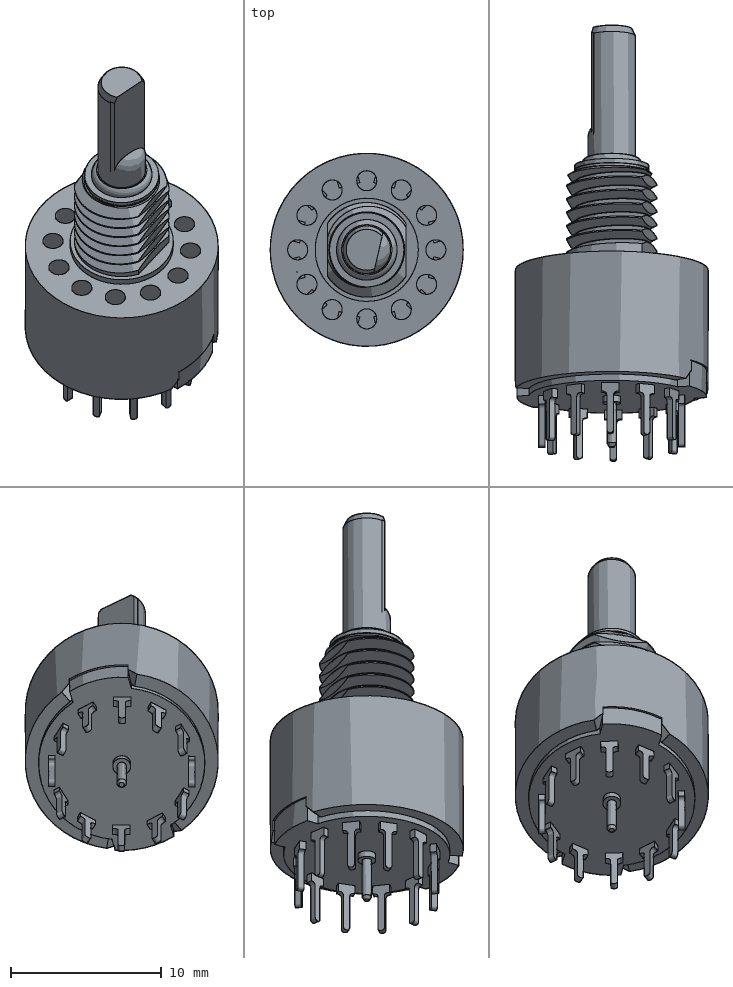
import cadquery as cq
import math

SHOULDER_Z = 2.8
BASE_Z = 3.4
BODY_Z = 3.82
TAB_TOP_Z = 5.15
FLANGE_Z = 11.97
BUSHING_Z = 12.42
BUSHING_TOP_Z = 18.56
CLIP_Z = 18.75
CLIP_TOP_Z = 19.05
COLLAR_TOP_Z = 19.55
FLAT_Z = 20.95
TOTAL_HEIGHT = 28.3

BODY_DIA = 12.82
BASE_DIA = 11.05
FLANGE_DIA = 6.85
TAB_DIA = 12.6
TAB_WIDTH = 4.02
TAB_RELIEF_WIDTH = 0.57
TAB_RELIEF_HEIGHT = 0.6

POSITIONS = 12
ANGLE_STEP = 360 / POSITIONS
HOLE_DIA = 1.33
HOLE_CIRCLE_RADIUS = 4.58

THREAD_DIA = 6.28
ROOT_DIA = 4.92
PITCH = 0.9
CREST_WIDTH = 0.08
THREAD_HALF_ANGLE = 30
GROOVE_START_Z = 12.88
GROOVE_OVERCUT = 0.05
THREAD_CHAMFER_WIDTH = 0.62
THREAD_CHAMFER_HEIGHT = 0.37
ACROSS_FLATS = 5.2
NECK_DIA = 4.75
CLIP_DIA = 4.92
COLLAR_DIA = 4.02
COLLAR_TOP_DIA = 3.35
COLLAR_ROUND_RADIUS = 0.48

SHAFT_DIA = 3.17
SHAFT_CHAMFER_WIDTH = 0.23
SHAFT_CHAMFER_HEIGHT = 0.48
FLAT_OFFSET = 0.8
FLAT_TURN = -13
RELIEF_OFFSET = 0.55
RELIEVED_DIA = 3.1
RUNOUT_RADIUS = 1.0

PIN_CIRCLE_RADIUS = 4.65
PIN_WIDTH = 0.45
PIN_THICKNESS = 0.42
PIN_TIP_FILLET = 0.2
SHOULDER_WIDTH = 1.15
SHOULDER_FILLET = 0.25
HEAD_WIDTH = 1.42
HEAD_TOP_Z = 4.1

MIDDLE_PIN_DIA = 0.62
MIDDLE_PIN_CHAMFER_WIDTH = 0.15
MIDDLE_PIN_CHAMFER_HEIGHT = 0.25
MIDDLE_COLLAR_DIA = 1.2
MIDDLE_COLLAR_Z = 2.97


def disc(diameter, bottom, top):
    return cq.Workplane("XY").workplane(offset=bottom).circle(diameter / 2).extrude(top - bottom)


def block(length, width, bottom, top):
    """Upright block centred on the Z axis."""
    return cq.Workplane("XY").workplane(offset=bottom).rect(length, width).extrude(top - bottom)


def tab_relief():
    """Sloped cut in the housing rim beside the +Y edge of the +X tab, running along a radius."""
    half_width = TAB_WIDTH / 2
    outer_y = half_width + TAB_RELIEF_WIDTH
    turn = math.degrees(math.asin(outer_y / (BODY_DIA / 2)))
    wedge = (
        cq.Workplane("YZ")
        .polyline([(-outer_y, 0), (0, 0), (-outer_y, outer_y * TAB_RELIEF_HEIGHT / TAB_RELIEF_WIDTH)])
        .close()
        .extrude(BODY_DIA)
        .rotate((0, 0, 0), (0, 0, 1), turn)
        .translate((0, 0, BODY_Z))
    )
    beside_tab = cq.Workplane("XY").box(BODY_DIA, outer_y, TAB_RELIEF_HEIGHT, centered=False)
    beside_tab = beside_tab.translate((0, half_width, BODY_Z))
    return wedge.intersect(beside_tab).cut(disc(BASE_DIA, BASE_Z, TAB_TOP_Z))


def housing():
    """Round body on a base disc, whose two tabs reach up into the body rim."""
    part = disc(BODY_DIA, BODY_Z, FLANGE_Z)
    relief = tab_relief()
    part = part.cut(relief).cut(relief.mirror("XZ"))
    part = part.cut(relief.mirror("YZ")).cut(relief.mirror("YZ").mirror("XZ"))
    tab_space = block(2 * BODY_DIA, TAB_WIDTH, BASE_Z, TAB_TOP_Z)
    tabs = tab_space.intersect(disc(TAB_DIA, BASE_Z, TAB_TOP_Z))
    part = part.cut(tab_space.cut(tabs))
    part = part.union(disc(BASE_DIA, BASE_Z, BODY_Z)).union(tabs)
    holes = (
        cq.Workplane("XY")
        .workplane(offset=BODY_Z)
        .polarArray(HOLE_CIRCLE_RADIUS, 0, 360, POSITIONS)
        .circle(HOLE_DIA / 2)
        .extrude(FLANGE_Z - BODY_Z)
    )
    return part.cut(holes).union(disc(FLANGE_DIA, FLANGE_Z, BUSHING_Z))


def groove_turn():
    """One right-handed turn of the V groove, starting in the middle of the -X flat."""
    root_radius = ROOT_DIA / 2
    outer_radius = THREAD_DIA / 2 + GROOVE_OVERCUT
    slope = math.tan(math.radians(THREAD_HALF_ANGLE))
    outer_half = (PITCH - CREST_WIDTH) / 2 + GROOVE_OVERCUT * slope
    root_half = outer_half - (outer_radius - root_radius) * slope
    path = cq.Wire.makeHelix(PITCH, PITCH, root_radius)
    groove = (
        cq.Workplane("XZ")
        .polyline([
            (root_radius, -root_half),
            (outer_radius, -outer_half),
            (outer_radius, outer_half),
            (root_radius, root_half),
        ])
        .close()
        .sweep(cq.Workplane(path), isFrenet=True)
    )
    return groove.rotate((0, 0, 0), (0, 0, 1), 180).translate((0, 0, GROOVE_START_Z))


def bushing():
    """Threaded bushing with two flats, topped by a neck, a retaining clip and a rounded collar."""
    part = disc(THREAD_DIA, BUSHING_Z, BUSHING_TOP_Z).faces(">Z").edges()
    part = part.chamfer(THREAD_CHAMFER_HEIGHT, THREAD_CHAMFER_WIDTH)
    part = part.intersect(block(ACROSS_FLATS, THREAD_DIA, BUSHING_Z, BUSHING_TOP_Z))
    turn = groove_turn()
    turn_count = math.ceil((BUSHING_TOP_Z - GROOVE_START_Z) / PITCH)
    for index in range(turn_count):
        part = part.cut(turn.translate((0, 0, index * PITCH)))
    neck = disc(NECK_DIA, BUSHING_Z, CLIP_Z)
    clip = disc(CLIP_DIA, CLIP_Z, CLIP_TOP_Z)
    collar = (
        cq.Workplane("XZ")
        .moveTo(0, CLIP_TOP_Z)
        .lineTo(COLLAR_DIA / 2, CLIP_TOP_Z)
        .radiusArc((COLLAR_TOP_DIA / 2, COLLAR_TOP_Z), -COLLAR_ROUND_RADIUS)
        .lineTo(0, COLLAR_TOP_Z)
        .close()
        .revolve()
    )
    return part.union(neck).union(clip).union(collar)


def shaft():
    """Shaft with a turned flat that ends in a rounded shoulder."""
    part = disc(SHAFT_DIA, COLLAR_TOP_Z, TOTAL_HEIGHT).faces(">Z").edges()
    part = part.chamfer(SHAFT_CHAMFER_HEIGHT, SHAFT_CHAMFER_WIDTH)
    flat_length = TOTAL_HEIGHT - FLAT_Z
    cutter = cq.Workplane("XY").box(SHAFT_DIA, 2 * SHAFT_DIA, flat_length, centered=(False, True, False))
    cutter = cutter.translate((RELIEF_OFFSET, 0, FLAT_Z))
    core = disc(RELIEVED_DIA, FLAT_Z, TOTAL_HEIGHT).intersect(
        block(2 * FLAT_OFFSET, SHAFT_DIA, FLAT_Z, TOTAL_HEIGHT)
    )
    shoulder = (
        cq.Workplane("XZ")
        .moveTo(0, FLAT_Z)
        .lineTo(SHAFT_DIA / 2, FLAT_Z)
        .radiusArc((SHAFT_DIA / 2 - RUNOUT_RADIUS, FLAT_Z + RUNOUT_RADIUS), -RUNOUT_RADIUS)
        .lineTo(0, FLAT_Z + RUNOUT_RADIUS)
        .close()
        .revolve()
    )
    cutter = cutter.cut(core).cut(shoulder)
    return part.cut(cutter.rotate((0, 0, 0), (0, 0, 1), FLAT_TURN))


def flat_pin():
    """Flat pin at the +X position, its wide side facing outward."""
    leg = block(PIN_THICKNESS, PIN_WIDTH, 0, SHOULDER_Z)
    leg = leg.faces("<Z").edges("|X").fillet(PIN_TIP_FILLET)
    pin = leg.union(block(PIN_THICKNESS, SHOULDER_WIDTH, SHOULDER_Z, BODY_Z))
    inner_corners = cq.selectors.BoxSelector(
        (-PIN_THICKNESS, -PIN_WIDTH, SHOULDER_Z - SHOULDER_FILLET),
        (PIN_THICKNESS, PIN_WIDTH, SHOULDER_Z + SHOULDER_FILLET),
    )
    pin = pin.edges("|X").edges(inner_corners).fillet(SHOULDER_FILLET)
    pin = pin.union(block(PIN_THICKNESS, HEAD_WIDTH, BODY_Z, HEAD_TOP_Z))
    return pin.translate((PIN_CIRCLE_RADIUS, 0, 0))


def middle_pin():
    pin = disc(MIDDLE_PIN_DIA, 0, BASE_Z).faces("<Z").edges()
    pin = pin.chamfer(MIDDLE_PIN_CHAMFER_HEIGHT, MIDDLE_PIN_CHAMFER_WIDTH)
    return pin.union(disc(MIDDLE_COLLAR_DIA, MIDDLE_COLLAR_Z, BASE_Z))


result = housing().union(bushing()).union(shaft()).union(middle_pin())
pin = flat_pin()
for position in range(POSITIONS):
    result = result.union(pin.rotate((0, 0, 0), (0, 0, 1), (position + 0.5) * ANGLE_STEP))